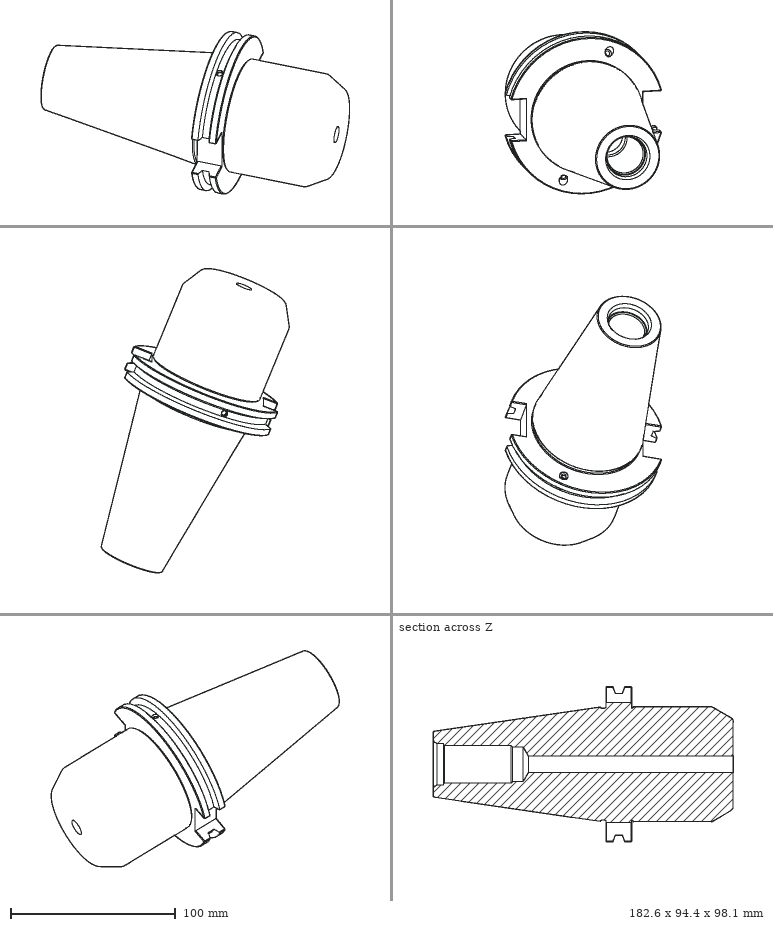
import cadquery as cq
import math

length = 182.6
margin = 1.8
through_radius = 5.0

gauge_x = 101.7
gauge_radius = 34.9
taper_slope = 7 / 48
shank_chamfer = 0.5
small_end_radius = gauge_radius - gauge_x * taper_slope

relief_start_x = 102.5
relief_depth = 0.7
relief_corner = 0.5

flange_x = 105.0
flange_width = 15.9
flange_radius = 49.03
flange_chamfer = 0.5
flange_end_x = flange_x + flange_width
flange_mid_x = flange_x + flange_width / 2

groove_depth = 4.0
groove_floor_width = 4.2
groove_mouth_width = 7.3
groove_floor_radius = flange_radius - groove_depth

slot_half_width = 12.8
slot_floor_far = 37.6
slot_floor_near = -35.5

coolant_angles = (20.0, 200.0)
coolant_tilt = 35.0
inlet_circle_radius = 42.0
inlet_radius = 2.5
inlet_depth = 3.0
port_radius = 2.0
port_depth = 1.8
coolant_drill_radius = 1.5

body_radius = 35.0
body_edge_chamfer = 1.0
nose_cone_x = 169.5
nose_angle = 30.0
nose_fillet = 3.1
nose_end_radius = body_radius - (length - nose_cone_x) * math.tan(math.radians(nose_angle))

mouth_radius = 13.9
mouth_depth = 2.4
pilot_radius = 12.6
pilot_end_x = 6.2
shoulder_radius = 12.0
thread_radius = 11.3
thread_end_x = 47.5
drill_radius = 10.4
drill_end_x = 54.8
drill_point_angle = 60.0


def revolve_about_x(points):
    """Solid of revolution about X from a closed outline of (x, radius) points."""
    return cq.Workplane("XY").polyline(points).close().revolve(360, (0, 0, 0), (1, 0, 0))


def make_shank():
    relief_radius = gauge_radius - relief_depth
    return revolve_about_x([
        (0, 0),
        (0, small_end_radius - shank_chamfer),
        (shank_chamfer, small_end_radius + shank_chamfer * taper_slope),
        (gauge_x, gauge_radius),
        (relief_start_x, relief_radius),
        (flange_x - relief_corner, relief_radius),
        (flange_x, relief_radius + relief_corner),
        (flange_mid_x, relief_radius + relief_corner),
        (flange_mid_x, 0),
    ])


def make_nose():
    body_start_x = flange_end_x + body_edge_chamfer
    nose = revolve_about_x([
        (flange_mid_x, 0),
        (flange_mid_x, body_radius - body_edge_chamfer),
        (flange_end_x, body_radius - body_edge_chamfer),
        (body_start_x, body_radius),
        (nose_cone_x, body_radius),
        (length, nose_end_radius),
        (length, 0),
    ])
    nose_rims = nose.edges("%CIRCLE").filter(lambda edge: edge.Center().x > nose_cone_x - margin)
    return nose_rims.fillet(nose_fillet)


def make_flange():
    flange = (
        cq.Workplane("YZ", origin=(flange_x, 0, 0))
        .circle(flange_radius)
        .extrude(flange_width)
    )
    for floor_y in (slot_floor_far, slot_floor_near):
        rim_y = math.copysign(flange_radius + margin, floor_y)
        slot = (
            cq.Workplane("XY")
            .box(flange_width, abs(rim_y - floor_y), 2 * slot_half_width)
            .translate((flange_mid_x, (rim_y + floor_y) / 2, 0))
        )
        flange = flange.cut(slot)

    rims = flange.faces("<X or >X").edges("%CIRCLE")
    walls = flange.faces("<X or >X").edges("|Y")
    rim_corners = flange.edges("|X").filter(lambda edge: abs(edge.Center().y) > slot_floor_far + margin)
    return rims.add(walls).add(rim_corners).chamfer(flange_chamfer)


def make_rim_groove():
    half_floor = groove_floor_width / 2
    half_mouth = groove_mouth_width / 2
    return revolve_about_x([
        (flange_mid_x - half_floor, groove_floor_radius),
        (flange_mid_x - half_mouth, flange_radius),
        (flange_mid_x - half_mouth, flange_radius + margin),
        (flange_mid_x + half_mouth, flange_radius + margin),
        (flange_mid_x + half_mouth, flange_radius),
        (flange_mid_x + half_floor, groove_floor_radius),
    ])


def make_coolant_passage(angle):
    """Inlet slanting inwards from the shank side of the flange to meet a port sunk from the groove."""
    tilt = math.radians(coolant_tilt)
    outwards = cq.Vector(0, -math.sin(math.radians(angle)), math.cos(math.radians(angle)))
    inwards = cq.Vector(math.cos(tilt), 0, 0) - outwards * math.sin(tilt)
    inlet = outwards * inlet_circle_radius + cq.Vector(flange_x, 0, 0)
    inlet_drill_length = flange_width / 2 / math.cos(tilt)
    meeting_point = inlet + inwards * inlet_drill_length
    meeting_radius = inlet_circle_radius - inlet_drill_length * math.sin(tilt)
    port_length = flange_radius - groove_floor_radius + port_depth
    port_floor = outwards * (flange_radius - port_length) + cq.Vector(flange_mid_x, 0, 0)
    port_drill_length = flange_radius - meeting_radius

    inlet_hole = cq.Solid.makeCylinder(
        inlet_radius, 2 * inlet_depth, inlet - inwards * inlet_depth, inwards)
    inlet_drill = cq.Solid.makeCylinder(coolant_drill_radius, inlet_drill_length, inlet, inwards)
    port_hole = cq.Solid.makeCylinder(port_radius, port_length, port_floor, outwards)
    port_drill = cq.Solid.makeCylinder(
        coolant_drill_radius, port_drill_length, meeting_point, outwards)
    return inlet_hole.fuse(inlet_drill, port_hole, port_drill)


def make_bore():
    point_length = (drill_radius - through_radius) / math.tan(math.radians(drill_point_angle))
    return revolve_about_x([
        (0, 0),
        (0, mouth_radius),
        (mouth_depth, pilot_radius),
        (pilot_end_x, pilot_radius),
        (pilot_end_x, shoulder_radius),
        (pilot_end_x + shoulder_radius - thread_radius, thread_radius),
        (thread_end_x, thread_radius),
        (thread_end_x + thread_radius - drill_radius, drill_radius),
        (drill_end_x, drill_radius),
        (drill_end_x + point_length, through_radius),
        (length, through_radius),
        (length, 0),
    ])


flange = make_flange().cut(make_rim_groove())
for coolant_angle in coolant_angles:
    flange = flange.cut(cq.Workplane(make_coolant_passage(coolant_angle)))

result = make_shank().union(flange).union(make_nose()).cut(make_bore())